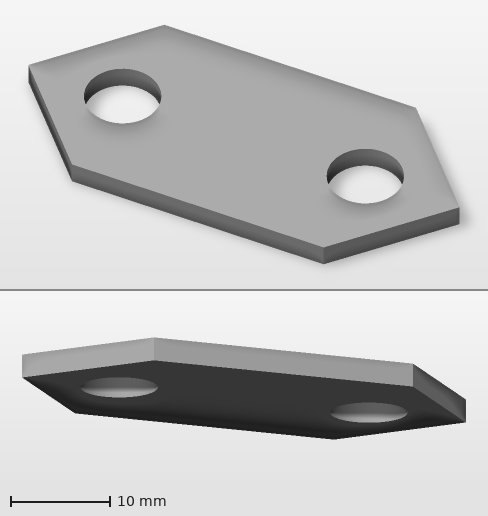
import cadquery as cq

length = 48.0
width = 22.0
thickness = 2.4

straight_length = 28.0

hole_diameter = 7.8
hole_spacing = 27.0


def make_plate():
    """Flat hexagonal plate with a point at each end of the X axis."""
    tip_x = length / 2
    shoulder_x = straight_length / 2
    edge_y = width / 2
    outline = [
        (-tip_x, 0),
        (-shoulder_x, -edge_y),
        (shoulder_x, -edge_y),
        (tip_x, 0),
        (shoulder_x, edge_y),
        (-shoulder_x, edge_y),
    ]
    return cq.Workplane("XY").polyline(outline).close().extrude(thickness)


def make_holes():
    """Cylinders that cut the two through holes."""
    centers = [(side * hole_spacing / 2, 0) for side in (-1, 1)]
    return cq.Workplane("XY").pushPoints(centers).circle(hole_diameter / 2).extrude(thickness)


result = make_plate().cut(make_holes())